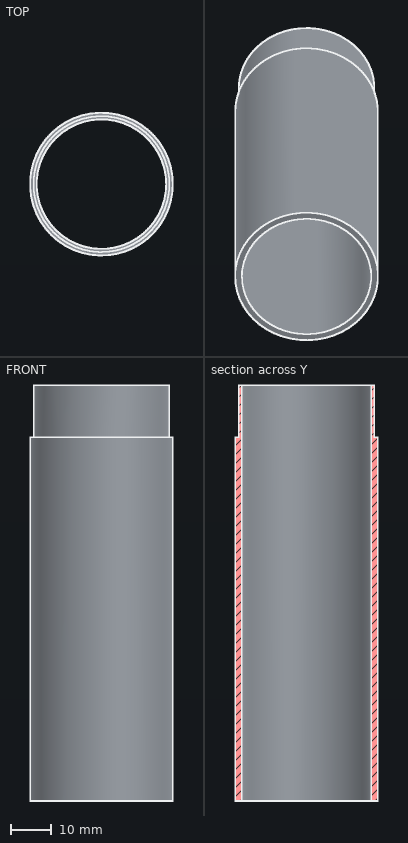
import cadquery as cq

total_length = 101.6
body_diameter = 35.0
spigot_diameter = 33.2
spigot_length = 12.7
bore_diameter = 31.6

body_length = total_length - spigot_length

body = cq.Workplane("XY").circle(body_diameter / 2).extrude(body_length)
spigot = body.faces(">Z").workplane().circle(spigot_diameter / 2).extrude(spigot_length)

bore = cq.Workplane("XY").circle(bore_diameter / 2).extrude(total_length)
result = spigot.cut(bore)